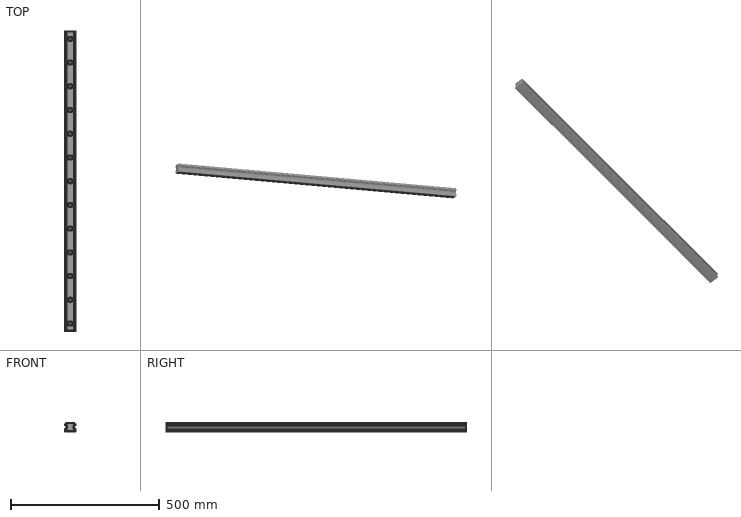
import cadquery as cq

rail_width = 34.0
rail_length = 1010.0
rail_height = 29.0

base_chamfer = 1.0
base_edge_height = 7.0
shoulder_half_width = 12.4
relief_width = 23.0
relief_depth = 0.5

waist_half_width = 11.0
waist_bottom = 14.8
waist_top = 16.8
waist_corner_sag = 0.4

top_width = 26.0
nose_bottom = 21.5
nose_top = 24.0
groove_end_half_width = 13.0
lower_groove_bottom = 19.5
upper_groove_top = 28.0
groove_sag = 1.2

hole_count = 13
hole_pitch = 80.0
cap_diameter = 14.0
cap_recess_depth = 0.5


def hollow_middle(start, end, sag):
    """Return the point halfway along a concave arc, sunk towards the rail's centre plane."""
    chord = cq.Vector(*end) - cq.Vector(*start)
    inward = cq.Vector(-chord.y, chord.x).normalized()
    middle = cq.Vector(*start) + chord * 0.5 + inward * sag
    return middle.x, middle.y


def make_rail():
    """Extrude the symmetric rail section along Y, centred on the origin."""
    half_width = rail_width / 2
    shoulder_height = base_edge_height + half_width - shoulder_half_width
    base_blend = [(shoulder_half_width, shoulder_height), (waist_half_width, waist_bottom)]
    head_blend = [(waist_half_width, waist_top), (groove_end_half_width, lower_groove_bottom)]
    lower_groove = [(groove_end_half_width, lower_groove_bottom), (half_width, nose_bottom)]
    upper_groove = [(half_width, nose_top), (groove_end_half_width, upper_groove_top)]
    half_section = (
        cq.Workplane("XZ")
        .moveTo(0, relief_depth)
        .lineTo(relief_width / 2, relief_depth)
        .lineTo(relief_width / 2, 0)
        .lineTo(half_width - base_chamfer, 0)
        .lineTo(half_width, base_chamfer)
        .lineTo(half_width, base_edge_height)
        .lineTo(*base_blend[0])
        .threePointArc(hollow_middle(*base_blend, waist_corner_sag), base_blend[1])
        .lineTo(*head_blend[0])
        .threePointArc(hollow_middle(*head_blend, waist_corner_sag), head_blend[1])
        .threePointArc(hollow_middle(*lower_groove, groove_sag), lower_groove[1])
        .lineTo(*upper_groove[0])
        .threePointArc(hollow_middle(*upper_groove, groove_sag), upper_groove[1])
        .lineTo(top_width / 2, rail_height)
        .lineTo(0, rail_height)
    )
    return half_section.mirrorY().extrude(rail_length / 2, both=True)


def cut_cap_recesses(rail):
    """Cut the row of shallow round recesses into the top of the rail."""
    recesses = (
        cq.Workplane("XY", origin=(0, 0, rail_height))
        .rarray(1, hole_pitch, 1, hole_count)
        .circle(cap_diameter / 2)
        .extrude(-cap_recess_depth)
    )
    return rail.cut(recesses)


result = cut_cap_recesses(make_rail())